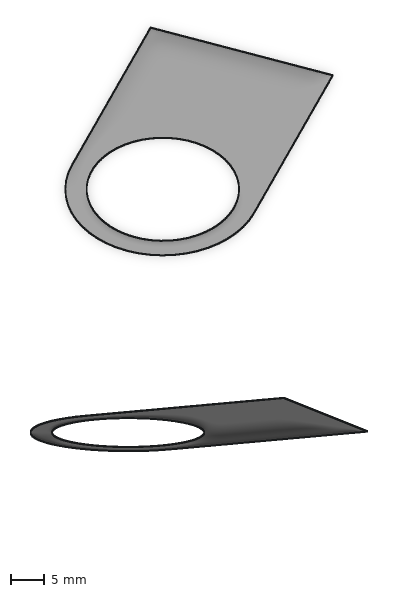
import cadquery as cq

width = 29.5
straight_length = 33.0
thickness = 0.1
hole_diameter = 23.0

end_radius = width / 2


def plate():
    """Flat tag with one square end (+Y) and one full-round end (-Y)."""
    return (
        cq.Workplane("XY")
        .moveTo(-end_radius, straight_length)
        .lineTo(-end_radius, 0)
        .threePointArc((0, -end_radius), (end_radius, 0))
        .lineTo(end_radius, straight_length)
        .close()
        .extrude(thickness)
    )


def hole_cutter():
    """Through hole, concentric with the round end."""
    return cq.Workplane("XY").circle(hole_diameter / 2).extrude(thickness)


result = plate().cut(hole_cutter())